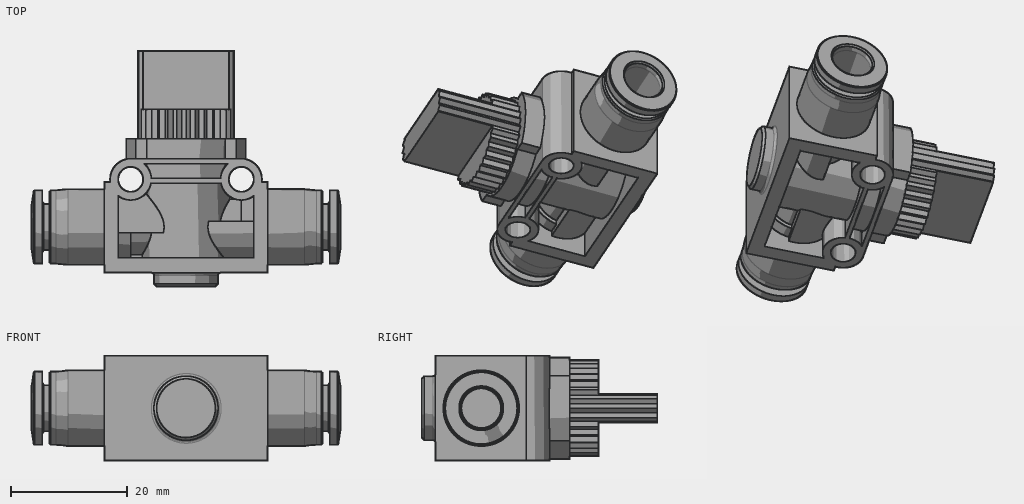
import cadquery as cq
import math


BODY_HALF_LENGTH = 14.0
BODY_HALF_HEIGHT = 9.0
BODY_FRONT_Y = -7.85
SHOULDER_Y = 7.75
EAR_X = 9.5
EAR_Y = 8.15
EAR_RADIUS = 3.55
EAR_HOLE_RADIUS = 2.1
EAR_CENTERS = [(-EAR_X, EAR_Y), (EAR_X, EAR_Y)]
BODY_BACK_Y = EAR_Y + EAR_RADIUS

WEB_THICKNESS = 0.55
POCKET_HALF_LENGTH = 11.6
POCKET_FRONT_Y = -5.25
RIB_FRONT_Y = 7.5
RIB_BACK_Y = 8.3
BACK_WALL_THICKNESS = 0.85

BARREL_RADIUS = 7.5
TUBE_RADIUS = 6.5
STEP_RADIUS = 5.55
NECKED_RADIUS = 4.75
STEP_X = 9.5
TUBE_SPLIT_OFFSET = 0.95

PORT_TIP_X = 26.5
RING_FACE_X = 26.15
RING_EDGE_CHAMFER = 0.15
RING_BACK_X = 24.65
NECK_X = 24.4
SLEEVE_TIP_X = 23.4
SLEEVE_CHAMFER_X = 23.15
SLEEVE_TAPER_END_X = 22.3
SLEEVE_TAPER_X = 20.25
RING_RADIUS = 6.3
RING_ROOT_RADIUS = 4.35
NECK_RADIUS = 4.0
SLEEVE_TIP_RADIUS = 6.05
SLEEVE_END_RADIUS = 6.3
MOUTH_RADIUS = 3.8
LEAD_IN_RADIUS = 3.55
BORE_RADIUS = 3.4
LEAD_IN_X = 26.2
BORE_START_X = 25.4
BORE_END_X = POCKET_HALF_LENGTH

PLUG_RADIUS = 5.5
PLUG_TIP_Y = -10.25
PLUG_CHAMFER = 0.5
PLUG_FILLET = 0.5

COLLAR_RADIUS = 8.75
COLLAR_TAB_RADIUS = 10.3
COLLAR_TAB_HALF_HEIGHT = 5.55
COLLAR_BACK_Y = 15.15
KNURL_BACK_Y = 20.15
KNOB_BACK_Y = 30.2
KNURL_TIP_RADIUS = 8.25
KNURL_ROOT_RADIUS = 7.65
KNURL_TEETH = 32
GRIP_HALF_THICKNESS = 2.5


def box(x_range, y_range, z_range):
    """Axis-aligned box between pairs of limits."""
    lows, highs = zip(x_range, y_range, z_range)
    sizes = [high - low for low, high in zip(lows, highs)]
    return cq.Workplane("XY").box(*sizes, centered=False).translate(lows)


def cylinder_x(radius, x_start, x_end):
    """Cylinder around the X axis."""
    return cq.Workplane("YZ").workplane(offset=x_start).circle(radius).extrude(x_end - x_start)


def plane_y(y):
    """Work plane at the given Y whose extrusions run toward +Y."""
    return cq.Workplane("XZ", origin=(0, y, 0)).transformed(rotate=(180, 0, 0))


def on_both_ends(solid):
    """The solid together with its half-turn copy about the Z axis."""
    return solid.union(solid.rotate((0, 0, 0), (0, 0, 1), 180))


def make_ear_columns(radius):
    """Full-height round columns at both ear centers."""
    base = cq.Workplane("XY", origin=(0, 0, -BODY_HALF_HEIGHT))
    return base.pushPoints(EAR_CENTERS).circle(radius).extrude(2 * BODY_HALF_HEIGHT)


def make_block():
    """Body block with its two rounded ears."""
    block = box(
        (-BODY_HALF_LENGTH, BODY_HALF_LENGTH),
        (BODY_FRONT_Y, SHOULDER_Y),
        (-BODY_HALF_HEIGHT, BODY_HALF_HEIGHT),
    )
    bridge = box(
        (-EAR_X, EAR_X), (SHOULDER_Y, BODY_BACK_Y), (-BODY_HALF_HEIGHT, BODY_HALF_HEIGHT)
    )
    return block.union(bridge).union(make_ear_columns(EAR_RADIUS))


def make_pockets():
    """Main pocket and narrow back slot, cut from both faces down to the middle web."""
    z_range = (WEB_THICKNESS / 2, BODY_HALF_HEIGHT)
    main = box((-POCKET_HALF_LENGTH, POCKET_HALF_LENGTH), (POCKET_FRONT_Y, RIB_FRONT_Y), z_range)
    slot = box((-EAR_X, EAR_X), (RIB_BACK_Y, BODY_BACK_Y - BACK_WALL_THICKNESS), z_range)
    upper = main.union(slot).cut(make_ear_columns(EAR_RADIUS))
    return upper.union(upper.mirror("XY"))


def make_barrel():
    """Round valve barrel along Y, from the pocket front to the rib."""
    return plane_y(POCKET_FRONT_Y).circle(BARREL_RADIUS).extrude(RIB_FRONT_Y - POCKET_FRONT_Y)


def make_flow_tubes():
    """Flow tubes from the ports to the barrel, each with one necked-down side."""
    full_side = cylinder_x(TUBE_RADIUS, -POCKET_HALF_LENGTH, 0).intersect(
        box(
            (-POCKET_HALF_LENGTH, 0),
            (-TUBE_SPLIT_OFFSET, TUBE_RADIUS),
            (-TUBE_RADIUS, TUBE_RADIUS),
        )
    )
    step = cylinder_x(STEP_RADIUS, -POCKET_HALF_LENGTH, -STEP_X)
    necked = cylinder_x(NECKED_RADIUS, -STEP_X, 0)
    tubes = on_both_ends(full_side.union(step).union(necked))
    pocket_space = box(
        (-POCKET_HALF_LENGTH, POCKET_HALF_LENGTH),
        (POCKET_FRONT_Y, RIB_FRONT_Y),
        (-BODY_HALF_HEIGHT, BODY_HALF_HEIGHT),
    )
    return tubes.intersect(pocket_space)


def make_port():
    """Sleeve, neck and release ring of the +X port, before boring."""
    return (
        cq.Workplane("XY")
        .moveTo(BORE_END_X, 0)
        .lineTo(BORE_END_X, TUBE_RADIUS)
        .lineTo(SLEEVE_TAPER_X, TUBE_RADIUS)
        .lineTo(SLEEVE_TAPER_END_X, SLEEVE_END_RADIUS)
        .lineTo(SLEEVE_CHAMFER_X, SLEEVE_END_RADIUS)
        .lineTo(SLEEVE_TIP_X, SLEEVE_TIP_RADIUS)
        .lineTo(SLEEVE_TIP_X, NECK_RADIUS)
        .lineTo(NECK_X, NECK_RADIUS)
        .lineTo(RING_BACK_X, RING_ROOT_RADIUS)
        .lineTo(RING_BACK_X, RING_RADIUS)
        .lineTo(RING_FACE_X - RING_EDGE_CHAMFER, RING_RADIUS)
        .lineTo(RING_FACE_X, RING_RADIUS - RING_EDGE_CHAMFER)
        .lineTo(PORT_TIP_X, MOUTH_RADIUS)
        .lineTo(PORT_TIP_X, 0)
        .close()
        .revolve(360, (0, 0, 0), (1, 0, 0))
    )


def make_bore():
    """Blind bore of the +X port with its flared lead-in."""
    return (
        cq.Workplane("XY")
        .moveTo(BORE_END_X, 0)
        .lineTo(BORE_END_X, BORE_RADIUS)
        .lineTo(BORE_START_X, BORE_RADIUS)
        .lineTo(LEAD_IN_X, LEAD_IN_RADIUS)
        .lineTo(PORT_TIP_X, MOUTH_RADIUS)
        .lineTo(PORT_TIP_X, 0)
        .close()
        .revolve(360, (0, 0, 0), (1, 0, 0))
    )


def make_plug():
    """Round plug on the front face, chamfered at the tip and filleted into the body."""
    fillet_middle = PLUG_FILLET * (1 - math.sqrt(0.5))
    return (
        cq.Workplane("XY")
        .moveTo(0, PLUG_TIP_Y)
        .lineTo(PLUG_RADIUS - PLUG_CHAMFER, PLUG_TIP_Y)
        .lineTo(PLUG_RADIUS, PLUG_TIP_Y + PLUG_CHAMFER)
        .lineTo(PLUG_RADIUS, BODY_FRONT_Y - PLUG_FILLET)
        .threePointArc(
            (PLUG_RADIUS + fillet_middle, BODY_FRONT_Y - fillet_middle),
            (PLUG_RADIUS + PLUG_FILLET, BODY_FRONT_Y),
        )
        .lineTo(PLUG_RADIUS + PLUG_FILLET, POCKET_FRONT_Y)
        .lineTo(0, POCKET_FRONT_Y)
        .close()
        .revolve(360, (0, 0, 0), (0, 1, 0))
    )


def make_collar():
    """Round collar with two wider side tabs, running from the rib out to the knob."""
    length = COLLAR_BACK_Y - RIB_FRONT_Y
    disc = plane_y(RIB_FRONT_Y).circle(COLLAR_RADIUS).extrude(length)
    tabs = plane_y(RIB_FRONT_Y).circle(COLLAR_TAB_RADIUS).extrude(length)
    tab_band = box(
        (-COLLAR_TAB_RADIUS, COLLAR_TAB_RADIUS),
        (RIB_FRONT_Y, COLLAR_BACK_Y),
        (-COLLAR_TAB_HALF_HEIGHT, COLLAR_TAB_HALF_HEIGHT),
    )
    return disc.union(tabs.intersect(tab_band))


def make_knob():
    """Knurled knob whose back part is thinned to a flat grip."""
    points = []
    for index in range(2 * KNURL_TEETH):
        radius = KNURL_ROOT_RADIUS if index % 2 else KNURL_TIP_RADIUS
        angle = math.pi * index / KNURL_TEETH
        points.append((radius * math.cos(angle), radius * math.sin(angle)))
    knurl = plane_y(COLLAR_BACK_Y).polyline(points).close().extrude(KNOB_BACK_Y - COLLAR_BACK_Y)
    x_range = (-KNURL_TIP_RADIUS, KNURL_TIP_RADIUS)
    y_range = (KNURL_BACK_Y, KNOB_BACK_Y)
    above_grip = box(x_range, y_range, (GRIP_HALF_THICKNESS, KNURL_TIP_RADIUS))
    below_grip = box(x_range, y_range, (-KNURL_TIP_RADIUS, -GRIP_HALF_THICKNESS))
    return knurl.cut(above_grip).cut(below_grip)


result = (
    make_block()
    .cut(make_pockets())
    .union(make_barrel())
    .union(make_flow_tubes())
    .union(on_both_ends(make_port()))
    .union(make_plug())
    .union(make_collar())
    .union(make_knob())
    .cut(on_both_ends(make_bore()))
    .cut(make_ear_columns(EAR_HOLE_RADIUS))
)